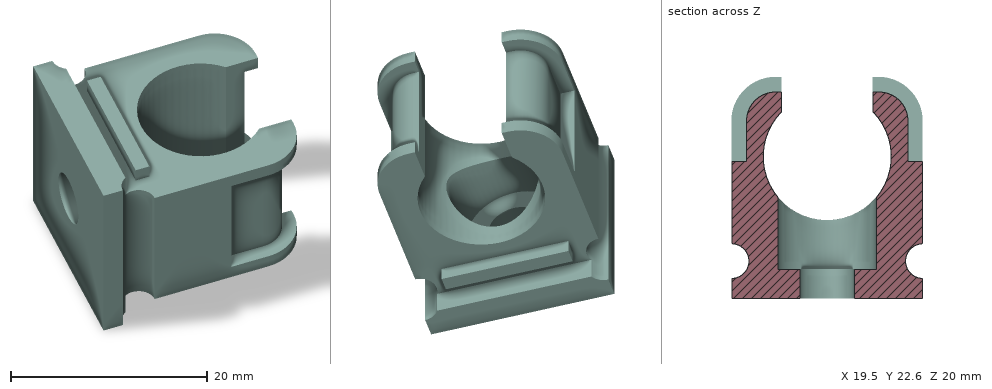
import cadquery as cq

width = 19.5
length = 22.6
plate_height = 20.0
plate_thickness = 3.0

body_height = 15.0
tip_radius = 4.5
pipe_diameter = 13.0
pipe_center_y = 14.5
mouth_width = 9.25

flange_thickness = 1.5
relief_depth = 1.5
relief_start_y = 14.0

neck_length = 1.7
side_groove_radius = 1.75
rib_length = 13.5
rib_thickness = 1.5
rib_height = 1.5

screw_hole_diameter = 5.5
screw_head_diameter = 10.0
screw_seat_y = plate_thickness

neck_end_y = plate_thickness + neck_length
side_groove_y = plate_thickness + neck_length / 2


def block(size_x, start_y, end_y, size_z):
    """Box centred in X and Z that runs from start_y to end_y."""
    return cq.Workplane("XY").box(size_x, end_y - start_y, size_z).translate((0, (start_y + end_y) / 2, 0))


def cylinder_along_z(diameter, x, y):
    """Upright cylinder as tall as the plate, centred in Z."""
    return cq.Workplane("XY").center(x, y).circle(diameter / 2).extrude(plate_height / 2, both=True)


def cylinder_along_y(diameter, start_y, end_y):
    """Cylinder on the screw axis that runs from start_y to end_y."""
    return cq.Workplane("XZ", origin=(0, start_y, 0)).circle(diameter / 2).extrude(start_y - end_y)


def rounded_block(size_x, start_y, end_y, size_z, radius):
    """Block whose two upright edges at end_y are rounded."""
    return block(size_x, start_y, end_y, size_z).edges("|Z and >Y").fillet(radius)


def arm_relief():
    """U-shaped band that is removed around the arms between the flanges."""
    relief_height = body_height - 2 * flange_thickness
    band = block(width, relief_start_y, length, relief_height)
    arm_core = rounded_block(
        width - 2 * relief_depth,
        0,
        length - relief_depth,
        body_height,
        tip_radius - relief_depth,
    )
    return band.cut(arm_core)


def clip_body():
    """Open pipe clip with rounded tips and relieved arms."""
    body = rounded_block(width, 0, length, body_height, tip_radius)
    body = body.cut(arm_relief())
    body = body.cut(cylinder_along_z(pipe_diameter, 0, pipe_center_y))
    return body.cut(block(mouth_width, pipe_center_y, length, body_height))


def mounting_base():
    """Square mounting plate and the locating ribs behind it."""
    plate = block(width, 0, plate_thickness, plate_height)
    ribs = block(rib_length, neck_end_y, neck_end_y + rib_thickness, body_height + 2 * rib_height)
    return plate.union(ribs)


def cut_side_grooves(part):
    """Cut a round groove over the full height of each side."""
    for x in (-width / 2, width / 2):
        part = part.cut(cylinder_along_z(2 * side_groove_radius, x, side_groove_y))
    return part


def cut_screw_hole(part):
    """Cut the screw hole and the head recess that opens into the pipe bore."""
    part = part.cut(cylinder_along_y(screw_hole_diameter, 0, screw_seat_y))
    return part.cut(cylinder_along_y(screw_head_diameter, screw_seat_y, pipe_center_y))


result = cut_screw_hole(cut_side_grooves(clip_body().union(mounting_base())))